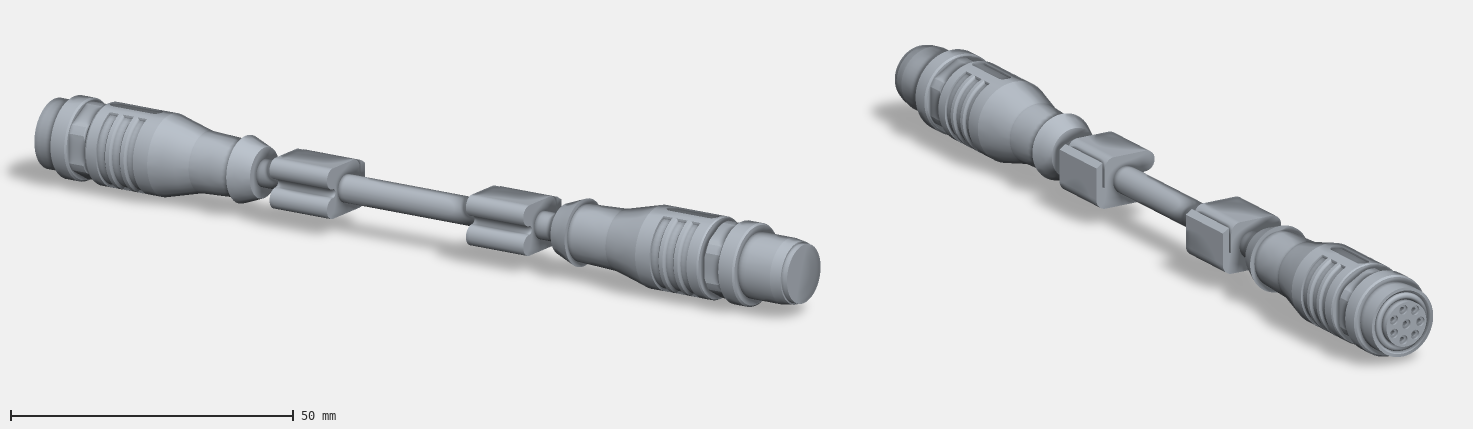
import cadquery as cq
import math

TOTAL_LENGTH = 160.4
CABLE_DIAMETER = 5.1

FEMALE_GRIP_START = 12.7
MALE_GRIP_START = 17.5

GRIP_DIAMETER = 15.0
GRIP_CHAMFER_LENGTH = 0.3
GRIP_CHAMFER_HEIGHT = 0.2
GRIP_END = 13.3
NECK_START = 20.9
NECK_START_DIAMETER = 11.2
COLLAR_POSITION = 29.2
NECK_END_DIAMETER = 10.5
COLLAR_DIAMETER = 12.4
GRIP_LENGTH = 33.2
GRIP_TAIL_DIAMETER = 9.3

RECESS_DEPTH = 0.5
RECESS_START = 2.4
RECESS_LENGTH = 7.9
RECESS_HALF_SPACING = 3.0
RIB_COUNT = 2
RIB_BASE = 1.6
RIB_TOP = 0.8

SLOT_START = 0.6
SLOT_LENGTH = 10.7
SLOT_WIDTH = 2.4

CORE_DIAMETER = 9.3
CORE_END = 0.5
HEX_START = 0.6
HEX_LENGTH = 3.4
HEX_ACROSS_FLATS = 12.8
HEX_CORNER_DIAMETER = 14.0
HEX_CHAMFER = 0.3
RING_DIAMETER = 15.0
RING_LENGTH = 3.5
RING_CHAMFER = 0.3
RING_FRONT = HEX_START + HEX_LENGTH + RING_LENGTH

SLEEVE_DIAMETER = 12.8
SLEEVE_BORE = 10.7
SLEEVE_FRONT = 11.4
BORE_DEPTH = 2.4
BORE_CHAMFER = 0.5
INSERT_DIAMETER = 8.3
CONTACT_DIAMETER = 0.85
CONTACT_DEPTH = 3.2
CONTACT_CIRCLE_RADIUS = 2.9
CONTACTS_ON_CIRCLE = 7
FIRST_CONTACT_ANGLE = 180
SOCKET_DIAMETER = 1.8
SOCKET_DEPTH = 0.5
SEAL_POSITION = 10.9
SEAL_SECTION_DIAMETER = 1.3

MALE_SLEEVE_DIAMETER = 12.0
MALE_TAPER_START = 14.3
MALE_TIP_STEP = 16.4
MALE_STEP_DIAMETER = 11.4
MALE_TIP_DIAMETER = 10.7

CLIP_POSITIONS = (51.0, 92.7)
CLIP_LENGTH = 12.2
CLIP_HALF_HEIGHT = 4.7
CLIP_HALF_WIDTH = 6.1
LOBE_RADIUS = 2.0
WING_TOP = 4.0
WING_OUTER_TOP = 3.2
WING_SLIT_INNER = 4.3
WING_SLIT_WIDTH = 0.5
WING_SLIT_FLOOR = -0.8


def cylinder(diameter, start, end):
    """Solid cylinder on the X axis between two positions."""
    return cq.Workplane("YZ", origin=(start, 0, 0)).circle(diameter / 2).extrude(end - start)


def revolve_about_x(points):
    """Solid of revolution about X from a closed outline of (x, radius) points."""
    return cq.Workplane("XY").polyline(points).close().revolve(360, (0, 0, 0), (1, 0, 0))


def grip_recesses():
    """Cutting tool for the ribbed recess rings, kept only on the two sides of the grip."""
    radius = GRIP_DIAMETER / 2
    floor = radius - RECESS_DEPTH
    clear = radius + RECESS_DEPTH
    gap = (RECESS_LENGTH - RIB_COUNT * RIB_BASE) / (RIB_COUNT + 1)
    flank = (RIB_BASE - RIB_TOP) / 2
    recess_end = RECESS_START + RECESS_LENGTH
    outline = [(RECESS_START, clear), (RECESS_START, floor)]
    for index in range(RIB_COUNT):
        base = RECESS_START + gap + index * (gap + RIB_BASE)
        outline += [
            (base, floor),
            (base + flank, radius),
            (base + flank + RIB_TOP, radius),
            (base + RIB_BASE, floor),
        ]
    outline += [(recess_end, floor), (recess_end, clear)]
    rings = revolve_about_x(outline)
    bridge = cq.Workplane("XY").box(GRIP_LENGTH, 2 * RECESS_HALF_SPACING, 2 * GRIP_DIAMETER)
    return rings.cut(bridge)


def grip_slots():
    """Cutting tool for the flat-bottomed slots in the top and the bottom of the grip."""
    floor = GRIP_DIAMETER / 2 - RECESS_DEPTH
    slot = (
        cq.Workplane("XY", origin=(SLOT_START + SLOT_LENGTH / 2, 0, floor))
        .slot2D(SLOT_LENGTH, SLOT_WIDTH)
        .extrude(2 * RECESS_DEPTH)
    )
    return slot.union(slot.mirror("XY"))


def grip():
    """Grip, tapering neck and collar of the moulded plug body."""
    body = revolve_about_x([
        (0, 0),
        (0, GRIP_DIAMETER / 2 - GRIP_CHAMFER_HEIGHT),
        (GRIP_CHAMFER_LENGTH, GRIP_DIAMETER / 2),
        (GRIP_END, GRIP_DIAMETER / 2),
        (NECK_START, NECK_START_DIAMETER / 2),
        (COLLAR_POSITION, NECK_END_DIAMETER / 2),
        (COLLAR_POSITION, COLLAR_DIAMETER / 2),
        (GRIP_LENGTH, GRIP_TAIL_DIAMETER / 2),
        (GRIP_LENGTH, 0),
    ])
    return body.cut(grip_recesses()).cut(grip_slots())


def coupling_nut():
    """Rounded hexagon, with two flats facing +Y and -Y, and the ring in front of it."""
    hex_back = -HEX_START
    hex_front = hex_back - HEX_LENGTH
    hexagon = (
        cq.Workplane("YZ", origin=(hex_front, 0, 0))
        .transformed(rotate=(0, 0, 90))
        .polygon(6, HEX_ACROSS_FLATS / math.cos(math.pi / 6))
        .extrude(HEX_LENGTH)
    )
    rounding = cylinder(HEX_CORNER_DIAMETER, hex_front, hex_back).faces(">X").chamfer(HEX_CHAMFER)
    hexagon = hexagon.intersect(rounding)
    ring = cylinder(RING_DIAMETER, -RING_FRONT, hex_front).edges().chamfer(RING_CHAMFER)
    core = cylinder(CORE_DIAMETER, hex_front, CORE_END)
    return hexagon.union(ring).union(core)


def contact_pattern(diameter, face, depth):
    """Blind hole tools starting at the insert face: one on the axis, the rest evenly spaced on a circle."""
    start = cq.Workplane("YZ", origin=(face, 0, 0))
    central = start.circle(diameter / 2).extrude(depth)
    around = (
        start.polarArray(CONTACT_CIRCLE_RADIUS, FIRST_CONTACT_ANGLE, 360, CONTACTS_ON_CIRCLE)
        .circle(diameter / 2)
        .extrude(depth)
    )
    return central.union(around)


def seal():
    """O-ring filling the gap between the insert and the sleeve."""
    centre_radius = (SLEEVE_BORE + INSERT_DIAMETER) / 4
    return (
        cq.Workplane("XY")
        .center(-SEAL_POSITION, centre_radius)
        .circle(SEAL_SECTION_DIAMETER / 2)
        .revolve(360, (0, -centre_radius, 0), (1, -centre_radius, 0))
    )


def female_plug():
    """Plug with a recessed sleeve around the contact insert and its O-ring."""
    face = -FEMALE_GRIP_START
    sleeve = cylinder(SLEEVE_DIAMETER, -SLEEVE_FRONT, -RING_FRONT)
    bore = cylinder(SLEEVE_BORE, -SLEEVE_FRONT, BORE_DEPTH - SLEEVE_FRONT)
    insert = cylinder(INSERT_DIAMETER, face, -RING_FRONT)
    sleeve = sleeve.cut(bore)
    bore_rim = cq.selectors.RadiusNthSelector(0)
    sleeve = sleeve.faces("<X").edges(bore_rim).chamfer(BORE_CHAMFER)
    front = sleeve.union(insert).union(seal())
    front = front.cut(contact_pattern(SOCKET_DIAMETER, face, SOCKET_DEPTH))
    front = front.cut(contact_pattern(CONTACT_DIAMETER, face, CONTACT_DEPTH))
    return grip().union(coupling_nut()).union(front)


def male_plug():
    """Plug with a plain sleeve that tapers and steps down at its tip."""
    sleeve = revolve_about_x([
        (-RING_FRONT, 0),
        (-RING_FRONT, MALE_SLEEVE_DIAMETER / 2),
        (-MALE_TAPER_START, MALE_SLEEVE_DIAMETER / 2),
        (-MALE_TIP_STEP, MALE_STEP_DIAMETER / 2),
        (-MALE_TIP_STEP, MALE_TIP_DIAMETER / 2),
        (-MALE_GRIP_START, MALE_TIP_DIAMETER / 2),
        (-MALE_GRIP_START, 0),
    ])
    return grip().union(coupling_nut()).union(sleeve)


def clip(start):
    """Label clip: two lobes with a groove between on the -Y side, an upright wing behind a slit on +Y."""
    lobe_height = CLIP_HALF_HEIGHT - LOBE_RADIUS
    groove = lobe_height - LOBE_RADIUS
    lobe = CLIP_HALF_WIDTH - LOBE_RADIUS
    slit_outer = WING_SLIT_INNER + WING_SLIT_WIDTH
    top_corner = WING_SLIT_INNER - LOBE_RADIUS
    diagonal = LOBE_RADIUS * math.sqrt(0.5)
    return (
        cq.Workplane("YZ", origin=(start, 0, 0))
        .moveTo(-lobe, CLIP_HALF_HEIGHT)
        .lineTo(top_corner, CLIP_HALF_HEIGHT)
        .threePointArc((top_corner + diagonal, lobe_height + diagonal), (WING_SLIT_INNER, lobe_height))
        .lineTo(WING_SLIT_INNER, WING_SLIT_FLOOR)
        .lineTo(slit_outer, WING_SLIT_FLOOR)
        .lineTo(slit_outer, WING_TOP)
        .lineTo(CLIP_HALF_WIDTH, WING_OUTER_TOP)
        .lineTo(CLIP_HALF_WIDTH, -lobe_height)
        .threePointArc((lobe + diagonal, -lobe_height - diagonal), (lobe, -CLIP_HALF_HEIGHT))
        .lineTo(-lobe, -CLIP_HALF_HEIGHT)
        .threePointArc((-CLIP_HALF_WIDTH, -lobe_height), (-lobe, -groove))
        .threePointArc((-lobe + groove, 0), (-lobe, groove))
        .threePointArc((-CLIP_HALF_WIDTH, lobe_height), (-lobe, CLIP_HALF_HEIGHT))
        .close()
        .extrude(CLIP_LENGTH)
    )


female_grip_position = FEMALE_GRIP_START
male_grip_position = TOTAL_LENGTH - MALE_GRIP_START

result = cylinder(CABLE_DIAMETER, female_grip_position + GRIP_END, male_grip_position - GRIP_END)
result = result.union(female_plug().translate((female_grip_position, 0, 0)))
male = male_plug().rotate((0, 0, 0), (0, 0, 1), 180)
result = result.union(male.translate((male_grip_position, 0, 0)))
for position in CLIP_POSITIONS:
    result = result.union(clip(position))